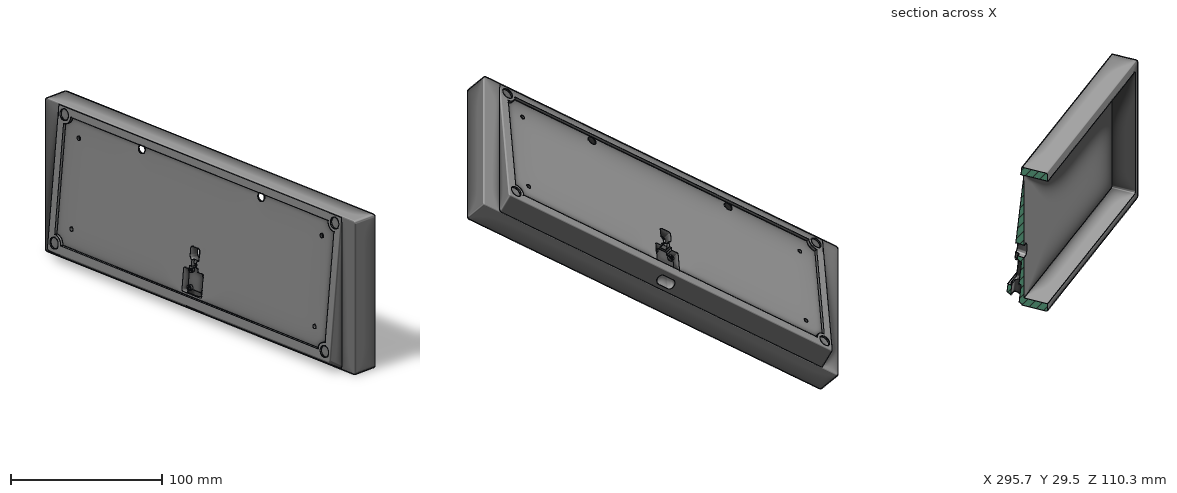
import cadquery as cq
import math


LENGTH = 295.7
TOTAL_DEPTH = 29.5
HEIGHT = 110.3
TILT = math.radians(6.0)
WEDGE_FOOT_RISE = 8.0
WEDGE_HALF_LENGTH = 134.8
CREST_LOSS = 0.05

BLOCK_CORNER_RADIUS = 2.0
BLOCK_FRONT_RADIUS = 1.0
BLOCK_BACK_RADIUS = 1.5
WEDGE_CORNER_RADIUS = 1.8
WEDGE_EDGE_RADIUS = 1.0

CAVITY_SIDE_WALL = 4.7
CAVITY_END_WALL = 6.5
CAVITY_FLOOR = 1.8
CAVITY_CORNER_RADIUS = 2.0

RECESS_MARGIN = 6.5
RECESS_HALF_LENGTH = 128.5
RECESS_DEPTH = 2.0
SEAT_RADIUS = 6.2
FOOT_DIAMETER = 8.0
FOOT_DEPTH = 1.2

ACCESS_HOLE_DIAMETER = 6.2
ACCESS_HOLE_X = 56.8
ACCESS_HOLE_DOWN = 9.8
SCREW_HOLE_DIAMETER = 3.0
SCREW_HOLE_DEPTH = 6.0
SCREW_HOLE_X = 115.5
SCREW_HOLE_DOWN = (19.5, 83.0)

POCKET_WIDTH = 18.5
POCKET_TOP = 78.0
POCKET_BOTTOM = 95.0
POCKET_DEPTH = 5.5
POCKET_CORNER_RADIUS = 1.2
NECK_WIDTH = 8.0
NECK_TOP = 75.7
BOSS_DIAMETER = 3.8
BOSS_HEIGHT = 1.8
BOSS_SIDE_INSET = 2.7
BOSS_END_INSET = 2.0
BOSS_HOLE_DIAMETER = 1.57

WINDOW_WIDTH = 8.5
WINDOW_TOP = 61.8
WINDOW_BOTTOM = 71.3
WINDOW_TOP_RADIUS = 1.8
WINDOW_BOTTOM_RADIUS = 3.0
CHANNEL_WIDTH = 4.7
CHANNEL_DEPTH = 2.5
CHANNEL_RAMP = 1.8

PORT_WIDTH = 13.5
PORT_HEIGHT = 6.2
PORT_DEPTH = 6.2

TOP_Z = HEIGHT / 2
BACK_Y = TOTAL_DEPTH / 2
WEDGE_DEPTH = (HEIGHT - WEDGE_FOOT_RISE) * math.tan(TILT)
FACE_HEIGHT = WEDGE_DEPTH / math.sin(TILT)
CREST_Y = -TOTAL_DEPTH / 2 - CREST_LOSS
FRONT_Y = CREST_Y + WEDGE_DEPTH
BLOCK_DEPTH = BACK_Y - FRONT_Y
POCKET_FLOOR = RECESS_DEPTH + POCKET_DEPTH

FACE_NORMAL = cq.Vector(0, -math.cos(TILT), math.sin(TILT))
ALONG_NORMAL = cq.selectors.ParallelDirSelector(FACE_NORMAL)


def face_plane(depth):
    """Plane parallel to the wedge face and sunk by depth, with Y up the face from its top edge."""
    origin = cq.Vector(0, FRONT_Y, TOP_Z) - FACE_NORMAL * depth
    return cq.Workplane(cq.Plane(origin=origin, xDir=(1, 0, 0), normal=FACE_NORMAL))


def sunk_box(width, top, bottom, start, end):
    """Centred box between two distances down the face and two depths below it."""
    return (
        face_plane(start)
        .center(0, -(top + bottom) / 2)
        .rect(width, bottom - top)
        .extrude(start - end)
    )


def sunk_cylinders(points, diameter, start, end):
    return face_plane(start).pushPoints(points).circle(diameter / 2).extrude(start - end)


def mirrored_points(half_spacing, distances_down):
    return [(x, -down) for x in (-half_spacing, half_spacing) for down in distances_down]


def make_block():
    return (
        cq.Workplane("XY", origin=(0, (FRONT_Y + BACK_Y) / 2, 0))
        .box(LENGTH, BLOCK_DEPTH, HEIGHT)
        .edges("|Y").fillet(BLOCK_CORNER_RADIUS)
        .faces("<Y").edges().fillet(BLOCK_FRONT_RADIUS)
        .faces(">Y").edges().fillet(BLOCK_BACK_RADIUS)
    )


def make_wedge():
    root_y = FRONT_Y + BLOCK_FRONT_RADIUS
    root_z = TOP_Z - BLOCK_FRONT_RADIUS
    face_top_y = FRONT_Y - BLOCK_FRONT_RADIUS * math.tan(TILT)
    slope_direction = cq.Vector(0, FRONT_Y - CREST_Y, BLOCK_FRONT_RADIUS - WEDGE_FOOT_RISE)
    wedge = (
        cq.Workplane("YZ")
        .moveTo(root_y, root_z)
        .lineTo(face_top_y, root_z)
        .lineTo(CREST_Y, WEDGE_FOOT_RISE - TOP_Z)
        .lineTo(FRONT_Y, -root_z)
        .lineTo(root_y, -root_z)
        .close()
        .extrude(WEDGE_HALF_LENGTH, both=True)
    )
    wedge = wedge.edges(cq.selectors.ParallelDirSelector(slope_direction)).fillet(WEDGE_CORNER_RADIUS)
    face = wedge.faces(cq.selectors.DirectionMinMaxSelector(FACE_NORMAL))
    return face.edges("not(>Z)").fillet(WEDGE_EDGE_RADIUS)


def make_cavity():
    return (
        cq.Workplane("XZ", origin=(0, BACK_Y, 0))
        .rect(LENGTH - 2 * CAVITY_SIDE_WALL, HEIGHT - 2 * CAVITY_END_WALL)
        .extrude(BLOCK_DEPTH - CAVITY_FLOOR)
        .edges("|Y").fillet(CAVITY_CORNER_RADIUS)
    )


def make_recess():
    """Recess that leaves the corner seats, plus the shallow foot sockets in those seats."""
    bottom = FACE_HEIGHT - RECESS_MARGIN
    corners = mirrored_points(RECESS_HALF_LENGTH, (RECESS_MARGIN, bottom))
    recess = sunk_box(2 * RECESS_HALF_LENGTH, RECESS_MARGIN, bottom, 0, RECESS_DEPTH)
    recess = recess.cut(sunk_cylinders(corners, 2 * SEAT_RADIUS, 0, RECESS_DEPTH))
    return recess.union(sunk_cylinders(corners, FOOT_DIAMETER, 0, FOOT_DEPTH))


def make_access_holes():
    points = mirrored_points(ACCESS_HOLE_X, (ACCESS_HOLE_DOWN,))
    return sunk_cylinders(points, ACCESS_HOLE_DIAMETER, 0, BLOCK_DEPTH)


def make_screw_holes():
    points = mirrored_points(SCREW_HOLE_X, SCREW_HOLE_DOWN)
    return sunk_cylinders(points, SCREW_HOLE_DIAMETER, 0, RECESS_DEPTH + SCREW_HOLE_DEPTH)


def make_connector_pocket():
    boss_down = (POCKET_TOP + BOSS_END_INSET, POCKET_BOTTOM - BOSS_END_INSET)
    boss_points = mirrored_points(POCKET_WIDTH / 2 - BOSS_SIDE_INSET, boss_down)
    pocket = sunk_box(POCKET_WIDTH, POCKET_TOP, POCKET_BOTTOM, 0, POCKET_FLOOR)
    pocket = pocket.edges(ALONG_NORMAL).fillet(POCKET_CORNER_RADIUS)
    pocket = pocket.union(sunk_box(NECK_WIDTH, NECK_TOP, POCKET_BOTTOM, 0, POCKET_FLOOR))
    boss_top = POCKET_FLOOR - BOSS_HEIGHT
    pocket = pocket.cut(sunk_cylinders(boss_points, BOSS_DIAMETER, boss_top, POCKET_FLOOR))
    return pocket.union(sunk_cylinders(boss_points, BOSS_HOLE_DIAMETER, boss_top, POCKET_FLOOR))


def make_cable_window():
    window = sunk_box(WINDOW_WIDTH, WINDOW_TOP, WINDOW_BOTTOM, 0, BLOCK_DEPTH)
    window = window.edges(ALONG_NORMAL).edges(">Z").fillet(WINDOW_TOP_RADIUS)
    return window.edges(ALONG_NORMAL).edges("<Z").fillet(WINDOW_BOTTOM_RADIUS)


def make_cable_channel():
    """Channel whose floor drops along a 45 degree ramp where it reaches the neck."""
    floor = RECESS_DEPTH + CHANNEL_DEPTH
    start = (WINDOW_TOP + WINDOW_BOTTOM) / 2
    side_plane = cq.Plane(origin=(0, FRONT_Y, TOP_Z), xDir=-face_plane(0).plane.yDir, normal=(1, 0, 0))
    return (
        cq.Workplane(side_plane)
        .moveTo(start, 0)
        .lineTo(NECK_TOP, 0)
        .lineTo(NECK_TOP, floor + CHANNEL_RAMP)
        .lineTo(NECK_TOP - CHANNEL_RAMP, floor)
        .lineTo(start, floor)
        .close()
        .extrude(CHANNEL_WIDTH / 2, both=True)
    )


def make_port():
    """Rounded port that runs up parallel to the wedge face and ends in the pocket."""
    start_down = HEIGHT / math.cos(TILT)
    return (
        face_plane(PORT_DEPTH)
        .transformed(offset=(0, -start_down, 0), rotate=(-90, 0, 0))
        .slot2D(PORT_WIDTH, PORT_HEIGHT)
        .extrude(start_down - POCKET_BOTTOM + POCKET_CORNER_RADIUS)
    )


result = make_block().union(make_wedge())
for make_cut in (
    make_cavity,
    make_recess,
    make_access_holes,
    make_screw_holes,
    make_connector_pocket,
    make_cable_window,
    make_cable_channel,
    make_port,
):
    result = result.cut(make_cut())